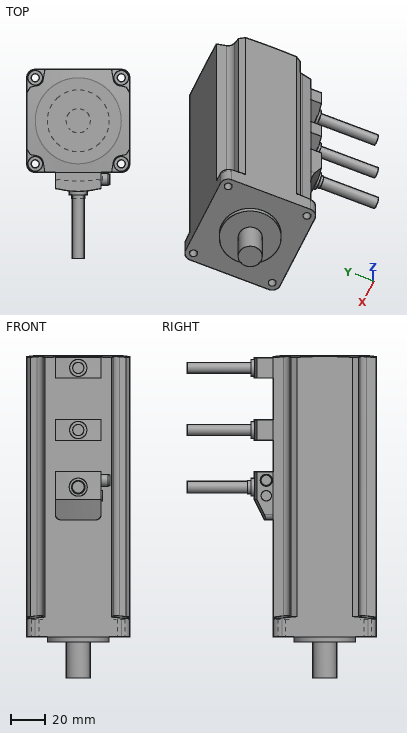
import cadquery as cq
import math

frame_width = 60.0
half_width = frame_width / 2
frame_height = 163.5
frame_corner_radius = 5.0

corner_reach = half_width * math.sqrt(2)

rear_flat_radius = 25.0
rear_slope_angle = 7.0

spigot_diameter = 36.0
spigot_height = 3.0
shaft_diameter = 14.0
shaft_reach = 24.0

hole_offset = 25.0
hole_diameter = 4.5
spotface_diameter = 8.5
spotface_height = 10.2
recess_radius = 4.75
recess_edge_x = 19.35
recess_arc_start_y = 24.1
recess_arc_end_x = 23.9
recess_knee = (27.8, 19.6)
recess_edge_y = 16.2

recess_floor_height = 12.5
recess_floor_radius = 30.0
recess_floor_angle = 10.0

outlet_width = 26.7
outlet_side_depth = 9.4
outlet_middle_depth = 11.0
outlet_root_y = -25.0
cable_end_y = -80.0
small_outlet_height = 12.0
small_outlet_centers = (156.3, 120.2)
small_collar_diameter = 10.0
small_cable_diameter = 6.5
collar_length = 2.0

large_outlet_top = 96.0
large_outlet_knee = 79.8
large_outlet_bottom = 68.0
large_outlet_bottom_depth = 5.2
large_outlet_corner_radius = 3.2
large_cable_z = 87.0
large_collar_diameter = 10.5
large_sleeve_diameter = 7.8
large_cable_diameter = 7.0
plug_center_y = -34.0
plug_center_z = 91.0
plug_diameter = 7.0
plug_length = 5.0
plug_bevel = 0.5
plug_rim_length = 1.2
boss_center_z = 82.0
boss_diameter = 6.0
boss_height = 0.6


def upright_cylinder(diameter, bottom, height):
    return cq.Workplane("XY").workplane(offset=bottom).circle(diameter / 2).extrude(height)


def cable_rod(diameter, center_z, start_y, end_y):
    """Cylinder running along -Y on the middle plane of the frame."""
    rod_plane = cq.Workplane("XZ", origin=(0, start_y, center_z))
    return rod_plane.circle(diameter / 2).extrude(start_y - end_y)


def side_rod(diameter, center_z, length):
    """Cylinder running along +X from the middle of the large outlet."""
    rod_plane = cq.Workplane("YZ", origin=(0, plug_center_y, center_z))
    return rod_plane.circle(diameter / 2).extrude(outlet_width / 2 + length)


def make_frame():
    """Square frame trimmed by a solid of revolution that forms the sloping rear end."""
    block = (
        cq.Workplane("XY")
        .rect(frame_width, frame_width)
        .extrude(frame_height)
        .edges("|Z")
        .fillet(frame_corner_radius)
    )
    slope_drop = (corner_reach - rear_flat_radius) * math.tan(math.radians(rear_slope_angle))
    envelope = (
        cq.Workplane("XZ")
        .moveTo(0, 0)
        .lineTo(corner_reach, 0)
        .lineTo(corner_reach, frame_height - slope_drop)
        .lineTo(rear_flat_radius, frame_height)
        .lineTo(0, frame_height)
        .close()
        .revolve(360, (0, 0), (0, 1))
    )
    return block.intersect(envelope)


def make_corner_recess():
    """Recess of the +X +Y corner, standing on the conical floor."""
    arc_start = (
        hole_offset - math.sqrt(recess_radius**2 - (hole_offset - recess_arc_start_y) ** 2),
        recess_arc_start_y,
    )
    arc_end = (
        recess_arc_end_x,
        hole_offset - math.sqrt(recess_radius**2 - (hole_offset - recess_arc_end_x) ** 2),
    )
    arc_middle = hole_offset - recess_radius / math.sqrt(2)
    column = (
        cq.Workplane("XY")
        .moveTo(half_width, half_width)
        .lineTo(recess_edge_x, half_width)
        .lineTo(*arc_start)
        .threePointArc((arc_middle, arc_middle), arc_end)
        .lineTo(*recess_knee)
        .lineTo(half_width, recess_edge_y)
        .close()
        .extrude(frame_height)
    )
    floor_slope = math.tan(math.radians(recess_floor_angle))
    floor_apex = recess_floor_height + recess_floor_radius * floor_slope
    floor_rim = floor_apex - corner_reach * floor_slope
    floor_cone = (
        cq.Workplane("XZ")
        .moveTo(0, 0)
        .lineTo(corner_reach, 0)
        .lineTo(corner_reach, floor_rim)
        .lineTo(0, floor_apex)
        .close()
        .revolve(360, (0, 0), (0, 1))
    )
    return column.cut(floor_cone)


def make_corner_cuts():
    """Recess, spotface and through hole of the +X +Y corner."""
    spotface = upright_cylinder(spotface_diameter, spotface_height, recess_floor_height - spotface_height)
    hole = upright_cylinder(hole_diameter, 0, spotface_height)
    fastener_space = spotface.union(hole).translate((hole_offset, hole_offset, 0))
    return make_corner_recess().union(fastener_space)


def cut_corners(body):
    cuts = make_corner_cuts()
    for corner in (cuts, cuts.mirror("YZ")):
        body = body.cut(corner).cut(corner.mirror("XZ"))
    return body


def outlet_outline(height, inset=0.0):
    """Outlet cross-section with a bowed outer side, rooted inside the frame."""
    half_outlet = outlet_width / 2
    side_y = -half_width - outlet_side_depth + inset
    middle_y = -half_width - outlet_middle_depth + inset
    return (
        cq.Workplane("XY", origin=(0, 0, height))
        .moveTo(-half_outlet, outlet_root_y)
        .lineTo(-half_outlet, side_y)
        .threePointArc((0, middle_y), (half_outlet, side_y))
        .lineTo(half_outlet, outlet_root_y)
        .close()
    )


def make_small_outlet(center_z):
    block = outlet_outline(center_z - small_outlet_height / 2).extrude(small_outlet_height)
    collar_end_y = -half_width - outlet_middle_depth - collar_length
    collar = cable_rod(small_collar_diameter, center_z, -half_width, collar_end_y)
    cable = cable_rod(small_cable_diameter, center_z, -half_width, cable_end_y)
    return block.union(collar).union(cable)


def make_large_outlet_block():
    """Housing whose bowed face slants back below the knee, with rounded lower corners."""
    upper = outlet_outline(large_outlet_knee).extrude(large_outlet_top - large_outlet_knee)
    knee_wire = outlet_outline(large_outlet_knee).wire().val()
    bottom_inset = outlet_middle_depth - large_outlet_bottom_depth
    bottom_wire = outlet_outline(large_outlet_bottom, bottom_inset).wire().val()
    lower = cq.Workplane(obj=cq.Solid.makeLoft([bottom_wire, knee_wire], True))
    lower = lower.edges("|Y and <Z").fillet(large_outlet_corner_radius)
    return upper.union(lower)


def make_large_outlet():
    collar_end_y = -half_width - outlet_middle_depth - collar_length
    sleeve_end_y = collar_end_y - collar_length
    collar = cable_rod(large_collar_diameter, large_cable_z, -half_width, collar_end_y)
    sleeve = cable_rod(large_sleeve_diameter, large_cable_z, -half_width, sleeve_end_y)
    cable = cable_rod(large_cable_diameter, large_cable_z, -half_width, cable_end_y)
    plug = side_rod(plug_diameter, plug_center_z, plug_length)
    plug = plug.faces(">X").chamfer(plug_rim_length, plug_bevel)
    boss = side_rod(boss_diameter, boss_center_z, boss_height)
    outlet = make_large_outlet_block()
    for piece in (collar, sleeve, cable, plug, boss):
        outlet = outlet.union(piece)
    return outlet


def make_motor():
    motor = cut_corners(make_frame())
    motor = motor.union(upright_cylinder(spigot_diameter, -spigot_height, spigot_height))
    motor = motor.union(upright_cylinder(shaft_diameter, -shaft_reach, shaft_reach))
    for center_z in small_outlet_centers:
        motor = motor.union(make_small_outlet(center_z))
    return motor.union(make_large_outlet())


result = make_motor()